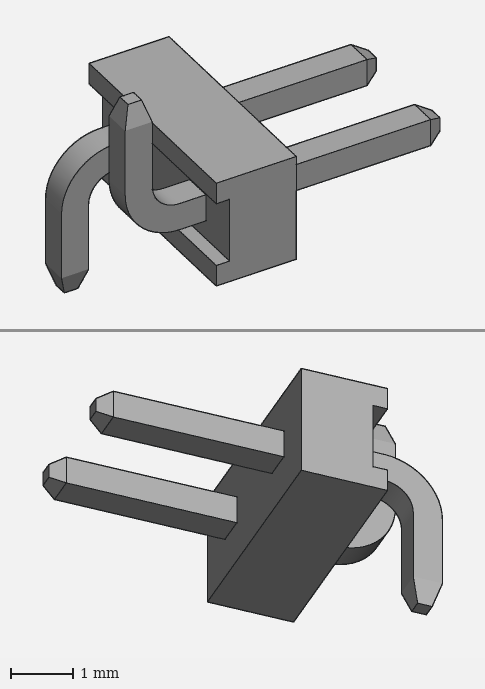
import cadquery as cq

pitch = 2.0
pin_count = 2
pin_width = 0.51
tip_width = pin_width / 2

housing_length = pitch * pin_count
housing_height = pitch
housing_depth = 1.5
channel_depth = 0.25
lip_height = 0.4

total_depth = 5.97
contact_end_y = 3.21
leg_outer_y = contact_end_y - total_depth
leg_end_z = 2.415
contact_tip_length = 0.25
leg_tip_length = 0.4

inner_bend_radius = pin_width
bend_radius = inner_bend_radius + pin_width / 2
leg_center_y = leg_outer_y + pin_width / 2
bend_start_y = leg_center_y + bend_radius

pin_layout = [(-pitch / 2, -1), (pitch / 2, 1)]


def make_housing():
    """Block with a full-length channel in its front and square pin holes."""
    block = cq.Workplane("XY").box(housing_length, housing_depth, housing_height)
    block = block.translate((0, -housing_depth / 2, 0))
    channel_height = housing_height - 2 * lip_height
    channel = cq.Workplane("XY").box(housing_length, channel_depth, channel_height)
    block = block.cut(channel.translate((0, channel_depth / 2 - housing_depth, 0)))
    for x, _ in pin_layout:
        hole = cq.Workplane("XY").box(pin_width, 2 * housing_depth, pin_width)
        block = block.cut(hole.translate((x, 0, 0)))
    return block


def tapered_tip(base_plane, length):
    """Square frustum growing along the normal of the base plane."""
    return (
        cq.Workplane(base_plane)
        .rect(pin_width, pin_width)
        .workplane(offset=length)
        .rect(tip_width, tip_width)
        .loft(ruled=True)
    )


def make_pin(x, leg_direction):
    """Square pin with a straight contact, a right-angle bend and a leg."""
    half = pin_width / 2
    contact_tip_y = contact_end_y - contact_tip_length
    leg_tip_z = leg_end_z - leg_tip_length
    contact_plane = cq.Plane((0, contact_tip_y, 0), (1, 0, 0), (0, 1, 0))
    leg_plane = cq.Plane((0, leg_center_y, leg_tip_z), (1, 0, 0), (0, 0, 1))

    leg_inner_y = leg_outer_y + pin_width
    outer_bend_radius = inner_bend_radius + pin_width
    bend_center_z = bend_radius
    diagonal = 0.5 ** 0.5
    inner_mid = (
        bend_start_y - inner_bend_radius * diagonal,
        bend_center_z - inner_bend_radius * diagonal,
    )
    outer_mid = (
        bend_start_y - outer_bend_radius * diagonal,
        bend_center_z - outer_bend_radius * diagonal,
    )
    pin = (
        cq.Workplane("YZ")
        .moveTo(contact_tip_y, -half)
        .lineTo(bend_start_y, -half)
        .threePointArc(outer_mid, (leg_outer_y, bend_center_z))
        .lineTo(leg_outer_y, leg_tip_z)
        .lineTo(leg_inner_y, leg_tip_z)
        .lineTo(leg_inner_y, bend_center_z)
        .threePointArc(inner_mid, (bend_start_y, half))
        .lineTo(contact_tip_y, half)
        .close()
        .extrude(half, both=True)
        .union(tapered_tip(contact_plane, contact_tip_length))
        .union(tapered_tip(leg_plane, leg_tip_length))
    )
    if leg_direction < 0:
        pin = pin.rotate((0, 0, 0), (0, 1, 0), 180)
    return pin.translate((x, 0, 0))


housing = make_housing()
pins = [make_pin(x, leg_direction) for x, leg_direction in pin_layout]
result = cq.Compound.makeCompound([housing.val(), *[pin.val() for pin in pins]])